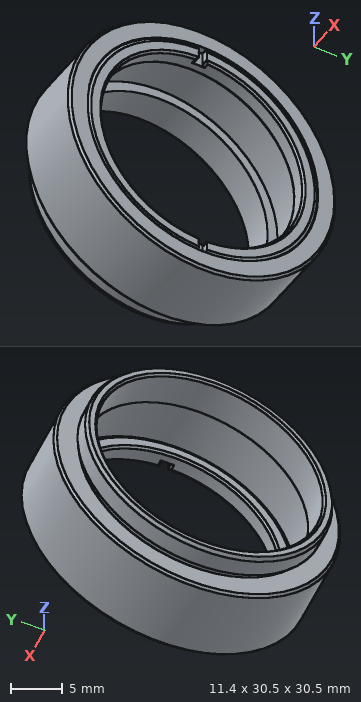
import cadquery as cq
import math

LENGTH = 11.43
TUBE_DIA = 30.48
RIM_CHAMFER = 0.27

THREAD_DIA = 26.27
THREAD_END_X = 2.32
THREAD_CHAMFER_LENGTH = 0.45
THREAD_CHAMFER_DEPTH = 0.25
RELIEF_DIA = 25.4
SHOULDER_X = 3.08

FRONT_BORE_DIA = 24.02
FRONT_BORE_CHAMFER = 0.25
SEAT_X = 3.8
REAR_BORE_DIA = THREAD_DIA

RING_DIA = REAR_BORE_DIA
RING_BORE_DIA = 22.92
RING_LENGTH = 1.98
RING_BORE_CHAMFER = 0.25
RING_RIM_CHAMFER_LENGTH = 0.2
RING_RIM_CHAMFER_DEPTH = 0.4

SLOT_WIDTH = 0.9
SLOT_DEPTH = 0.85
SLOT_MOUTH_CHAMFER = 0.25


def revolve_about_x(profile):
    """Turn a closed (x, radius) outline about the X axis."""
    return cq.Workplane("XY").polyline(profile).close().revolve(360, (0, 0, 0), (1, 0, 0))


def make_housing():
    """Short tube with an external thread land at the front and a stepped bore."""
    tube_r = TUBE_DIA / 2
    thread_r = THREAD_DIA / 2
    relief_r = RELIEF_DIA / 2
    front_r = FRONT_BORE_DIA / 2
    rear_r = REAR_BORE_DIA / 2
    return revolve_about_x([
        (0, front_r + FRONT_BORE_CHAMFER),
        (0, thread_r - THREAD_CHAMFER_DEPTH),
        (THREAD_CHAMFER_LENGTH, thread_r),
        (THREAD_END_X, thread_r),
        (THREAD_END_X, relief_r),
        (SHOULDER_X, relief_r),
        (SHOULDER_X, tube_r - RIM_CHAMFER),
        (SHOULDER_X + RIM_CHAMFER, tube_r),
        (LENGTH - RIM_CHAMFER, tube_r),
        (LENGTH, tube_r - RIM_CHAMFER),
        (LENGTH, rear_r),
        (SEAT_X, rear_r),
        (SEAT_X, front_r),
        (FRONT_BORE_CHAMFER, front_r),
    ])


def make_ring_blank():
    """Retaining ring before slotting, chamfered on all four circular edges."""
    outer_r = RING_DIA / 2
    bore_r = RING_BORE_DIA / 2
    front_x = LENGTH - RING_LENGTH
    return revolve_about_x([
        (front_x, bore_r + RING_BORE_CHAMFER),
        (front_x, outer_r - RING_RIM_CHAMFER_DEPTH),
        (front_x + RING_RIM_CHAMFER_LENGTH, outer_r),
        (LENGTH - RING_RIM_CHAMFER_LENGTH, outer_r),
        (LENGTH, outer_r - RING_RIM_CHAMFER_DEPTH),
        (LENGTH, bore_r + RING_BORE_CHAMFER),
        (LENGTH - RING_BORE_CHAMFER, bore_r),
        (front_x + RING_BORE_CHAMFER, bore_r),
    ])


def make_slot_cutter(side):
    """Radial slot through the ring wall, at +Z for side = 1 or -Z for side = -1.

    A 45 degree chamfer on each side wall widens the slot where it meets the bore.
    """
    half_width = SLOT_WIDTH / 2
    half_mouth = half_width + SLOT_MOUTH_CHAMFER
    mouth_z = side * math.sqrt((RING_BORE_DIA / 2) ** 2 - half_mouth ** 2)
    throat_z = mouth_z + side * SLOT_MOUTH_CHAMFER
    outer_z = side * TUBE_DIA / 2
    return (
        cq.Workplane("YZ", origin=(LENGTH - SLOT_DEPTH, 0, 0))
        .polyline([
            (-half_mouth, 0),
            (-half_mouth, mouth_z),
            (-half_width, throat_z),
            (-half_width, outer_z),
            (half_width, outer_z),
            (half_width, throat_z),
            (half_mouth, mouth_z),
            (half_mouth, 0),
        ])
        .close()
        .extrude(SLOT_DEPTH)
    )


def make_ring():
    """Retaining ring with two opposite spanner slots."""
    ring = make_ring_blank()
    for side in (1, -1):
        ring = ring.cut(make_slot_cutter(side))
    return ring


housing = make_housing()
retaining_ring = make_ring()
result = cq.Compound.makeCompound([housing.val(), retaining_ring.val()])